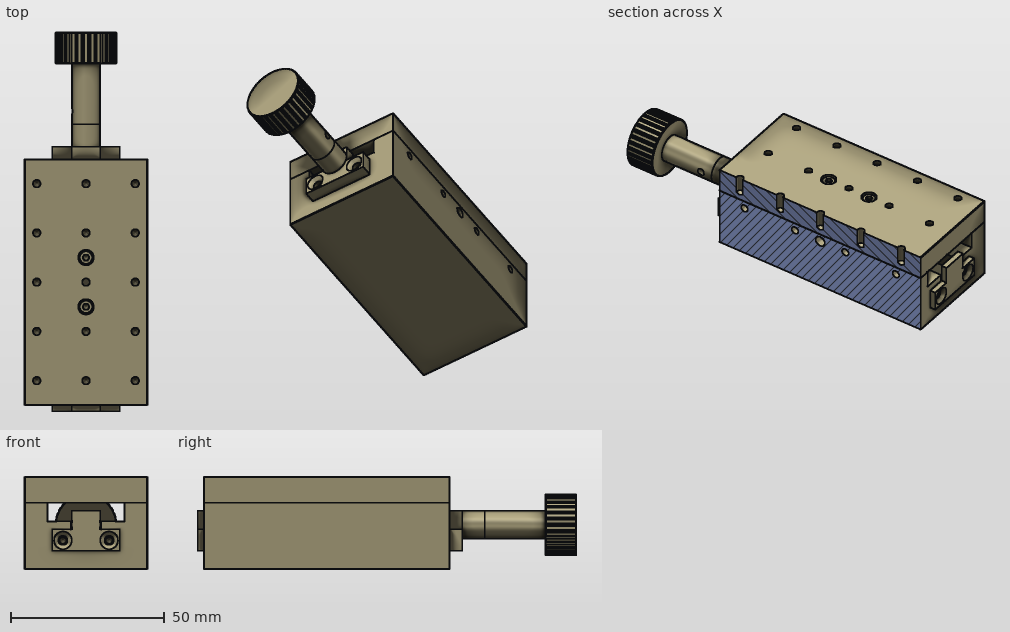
import cadquery as cq
import math


STAGE_WIDTH = 40.0
STAGE_LENGTH = 80.0
STAGE_HEIGHT = 30.0
TABLE_THICKNESS = 8.5
BASE_HEIGHT = STAGE_HEIGHT - TABLE_THICKNESS
HALF_LENGTH = STAGE_LENGTH / 2
EDGE_CHAMFER = 0.2
DRILL_POINT_ANGLE = 118.0

SLOT_WIDTH = 25.0
SLOT_FLOOR_Z = 15.5
SCREW_CHANNEL_WIDTH = 10.0
SCREW_CHANNEL_FLOOR_Z = 10.1

SIDE_HOLE_DIAMETER = 2.5
SIDE_HOLE_OFFSETS = (10.0, 30.0)
LOCK_HOLE_DIAMETER = 3.5
SIDE_HOLE_Z = (SLOT_FLOOR_Z + BASE_HEIGHT) / 2

DRIVE_AXIS_Z = 14.4
SHAFT_DIAMETER = 9.2
BUSHING_LENGTH = 7.3
SLEEVE_LENGTH = 19.7
SLEEVE_BORE_DIAMETER = 3.6
SLEEVE_HOLE_DIAMETER = 2.5
SLEEVE_HOLE_TO_END = 4.2
KNOB_LENGTH = 10.1
KNOB_DIAMETER = 19.9
KNURL_COUNT = 30
KNURL_DEPTH = 0.2
KNURL_SHARE = 0.45

FRONT_PLATE_THICKNESS = 2.0
REAR_PLATE_THICKNESS = 4.0
FOOT_WIDTH = 22.0
FOOT_BOTTOM_Z = 5.9
FOOT_TOP_Z = 12.9
NECK_WIDTH = SHAFT_DIAMETER
NECK_TOP_Z = DRIVE_AXIS_Z + SHAFT_DIAMETER / 2
PLATE_HOLE_OFFSET = 7.5
PLATE_HOLE_Z = 9.3
PLATE_HOLE_DIAMETER = 3.0
COUNTERSINK_DIAMETER = 5.8
COUNTERSINK_ANGLE = 90.0
END_HOLE_DIAMETER = 2.2
END_HOLE_DEPTH = 8.0

TABLE_HOLE_PITCH = 16.0
TABLE_HOLE_DIAMETER = 2.5
TABLE_HOLE_DEPTH = 6.0

SCREW_OFFSET = 8.0
SCREW_HEAD_DIAMETER = 4.0
SCREW_HEAD_HEIGHT = 2.5
SCREW_SHANK_DIAMETER = 2.5
SCREW_RECESS = 0.5
COUNTERBORE_DIAMETER = 5.0
SOCKET_ACROSS_FLATS = 2.0
SOCKET_DEPTH = 1.2

REAR_PLATE_END = HALF_LENGTH + REAR_PLATE_THICKNESS
BUSHING_END = REAR_PLATE_END + BUSHING_LENGTH
KNOB_START = BUSHING_END + SLEEVE_LENGTH


def cone_height(diameter, full_angle):
    return diameter / 2 / math.tan(math.radians(full_angle / 2))


def cylinder(diameter, length, start, direction):
    return cq.Workplane(cq.Solid.makeCylinder(diameter / 2, length, cq.Vector(*start), cq.Vector(*direction)))


def cone(diameter, full_angle, start, direction):
    height = cone_height(diameter, full_angle)
    return cq.Workplane(cq.Solid.makeCone(diameter / 2, 0, height, cq.Vector(*start), cq.Vector(*direction)))


def drilled_hole(diameter, depth, start, direction):
    """Blind hole whose full-diameter depth ends in a drill point."""
    tip_start = cq.Vector(*start) + cq.Vector(*direction) * depth
    tip = cone(diameter, DRILL_POINT_ANGLE, tip_start.toTuple(), direction)
    return cylinder(diameter, depth, start, direction).union(tip)


def block(width, length, bottom_z, top_z):
    return (
        cq.Workplane("XY", origin=(0, 0, bottom_z))
        .rect(width, length)
        .extrude(top_z - bottom_z)
    )


def make_base():
    base = block(STAGE_WIDTH, STAGE_LENGTH, 0, BASE_HEIGHT)
    base = base.edges("|Z or <Z").chamfer(EDGE_CHAMFER)
    base = base.cut(block(SLOT_WIDTH, STAGE_LENGTH, SLOT_FLOOR_Z, BASE_HEIGHT))
    base = base.cut(block(SCREW_CHANNEL_WIDTH, STAGE_LENGTH, SCREW_CHANNEL_FLOOR_Z, SLOT_FLOOR_Z))

    wall = (STAGE_WIDTH - SLOT_WIDTH) / 2
    side_holes = [(0, LOCK_HOLE_DIAMETER)]
    for offset in SIDE_HOLE_OFFSETS:
        side_holes += [(-offset, SIDE_HOLE_DIAMETER), (offset, SIDE_HOLE_DIAMETER)]
    for y, diameter in side_holes:
        base = base.cut(cylinder(diameter, wall, (-STAGE_WIDTH / 2, y, SIDE_HOLE_Z), (1, 0, 0)))

    for side in (-1, 1):
        for x in (-PLATE_HOLE_OFFSET, PLATE_HOLE_OFFSET):
            start = (x, side * HALF_LENGTH, PLATE_HOLE_Z)
            base = base.cut(drilled_hole(END_HOLE_DIAMETER, END_HOLE_DEPTH, start, (0, -side, 0)))
    return base


def make_table():
    table = block(STAGE_WIDTH, STAGE_LENGTH, BASE_HEIGHT, STAGE_HEIGHT)
    table = table.edges("|Z or >Z").chamfer(EDGE_CHAMFER)

    for column in (-1, 0, 1):
        for row in (-2, -1, 0, 1, 2):
            start = (column * TABLE_HOLE_PITCH, row * TABLE_HOLE_PITCH, STAGE_HEIGHT)
            if column == 0 and row == 0:
                hole = cylinder(TABLE_HOLE_DIAMETER, TABLE_THICKNESS, start, (0, 0, -1))
            else:
                hole = drilled_hole(TABLE_HOLE_DIAMETER, TABLE_HOLE_DEPTH, start, (0, 0, -1))
            table = table.cut(hole)

    for y in (-SCREW_OFFSET, SCREW_OFFSET):
        top = (0, y, STAGE_HEIGHT)
        counterbore_depth = SCREW_RECESS + SCREW_HEAD_HEIGHT
        table = table.cut(cylinder(COUNTERBORE_DIAMETER, counterbore_depth, top, (0, 0, -1)))
        table = table.cut(cylinder(SCREW_SHANK_DIAMETER, TABLE_THICKNESS, top, (0, 0, -1)))
    return table


def make_screw(y):
    """Socket head screw whose shank ends flush with the underside of the table."""
    head_top = STAGE_HEIGHT - SCREW_RECESS
    head = cylinder(SCREW_HEAD_DIAMETER, SCREW_HEAD_HEIGHT, (0, y, head_top), (0, 0, -1))
    shank = cylinder(SCREW_SHANK_DIAMETER, head_top - BASE_HEIGHT, (0, y, head_top), (0, 0, -1))
    across_corners = SOCKET_ACROSS_FLATS / math.cos(math.pi / 6)
    socket = (
        cq.Workplane("XY", origin=(0, y, head_top))
        .polygon(6, across_corners)
        .extrude(-SOCKET_DEPTH)
    )
    socket_tip = cone(SOCKET_ACROSS_FLATS, DRILL_POINT_ANGLE, (0, y, head_top - SOCKET_DEPTH), (0, 0, -1))
    return head.union(shank).cut(socket).cut(socket_tip)


def make_end_plate(side, thickness):
    """T-shaped plate on the -Y (side = -1) or +Y (side = 1) end face of the base."""
    foot = block(FOOT_WIDTH, thickness, FOOT_BOTTOM_Z, FOOT_TOP_Z)
    neck = block(NECK_WIDTH, thickness, FOOT_TOP_Z, NECK_TOP_Z)
    plate = foot.union(neck).translate((0, side * (HALF_LENGTH + thickness / 2), 0))
    for x in (-PLATE_HOLE_OFFSET, PLATE_HOLE_OFFSET):
        start = (x, side * (HALF_LENGTH + thickness), PLATE_HOLE_Z)
        inward = (0, -side, 0)
        plate = plate.cut(cylinder(PLATE_HOLE_DIAMETER, thickness, start, inward))
        plate = plate.cut(cone(COUNTERSINK_DIAMETER, COUNTERSINK_ANGLE, start, inward))
    return plate


def make_bushing():
    return cylinder(SHAFT_DIAMETER, BUSHING_LENGTH, (0, REAR_PLATE_END, DRIVE_AXIS_Z), (0, 1, 0))


def make_knurled_grip():
    """Knob cylinder with V grooves and with both rims chamfered down to the groove bottoms."""
    radius = KNOB_DIAMETER / 2
    pitch = 2 * math.pi / KNURL_COUNT
    half_land = pitch * (1 - KNURL_SHARE) / 2

    def point(distance, angle):
        return (distance * math.sin(angle), distance * math.cos(angle))

    outline = cq.Workplane("XZ", origin=(0, KNOB_START, DRIVE_AXIS_Z)).moveTo(*point(radius, -half_land))
    for index in range(KNURL_COUNT):
        middle = index * pitch
        outline = outline.threePointArc(point(radius, middle), point(radius, middle + half_land))
        outline = outline.lineTo(*point(radius - KNURL_DEPTH, middle + pitch / 2))
        if index < KNURL_COUNT - 1:
            outline = outline.lineTo(*point(radius, middle + pitch - half_land))
    grip = outline.close().extrude(-KNOB_LENGTH)
    chamfered_blank = (
        cylinder(KNOB_DIAMETER, KNOB_LENGTH, (0, KNOB_START, DRIVE_AXIS_Z), (0, 1, 0))
        .edges()
        .chamfer(KNURL_DEPTH)
    )
    return grip.intersect(chamfered_blank)


def make_knob():
    """Knurled grip and its hollow sleeve, with a set-screw hole in the -X side of the sleeve."""
    sleeve_start = (0, BUSHING_END, DRIVE_AXIS_Z)
    sleeve = cylinder(SHAFT_DIAMETER, SLEEVE_LENGTH, sleeve_start, (0, 1, 0))
    bore = cylinder(SLEEVE_BORE_DIAMETER, SLEEVE_LENGTH, sleeve_start, (0, 1, 0))
    set_screw_start = (-SHAFT_DIAMETER / 2, BUSHING_END + SLEEVE_HOLE_TO_END, DRIVE_AXIS_Z)
    set_screw_hole = cylinder(SLEEVE_HOLE_DIAMETER, SHAFT_DIAMETER / 2, set_screw_start, (1, 0, 0))
    return make_knurled_grip().union(sleeve).cut(bore).cut(set_screw_hole)


base = make_base()
table = make_table()
front_plate = make_end_plate(-1, FRONT_PLATE_THICKNESS)
rear_plate = make_end_plate(1, REAR_PLATE_THICKNESS)
bushing = make_bushing()
knob = make_knob()
screws = [make_screw(y) for y in (-SCREW_OFFSET, SCREW_OFFSET)]

result = cq.Compound.makeCompound(
    [
        base.val(),
        table.val(),
        front_plate.val(),
        rear_plate.val(),
        bushing.val(),
        knob.val(),
        *[screw.val() for screw in screws],
    ]
)